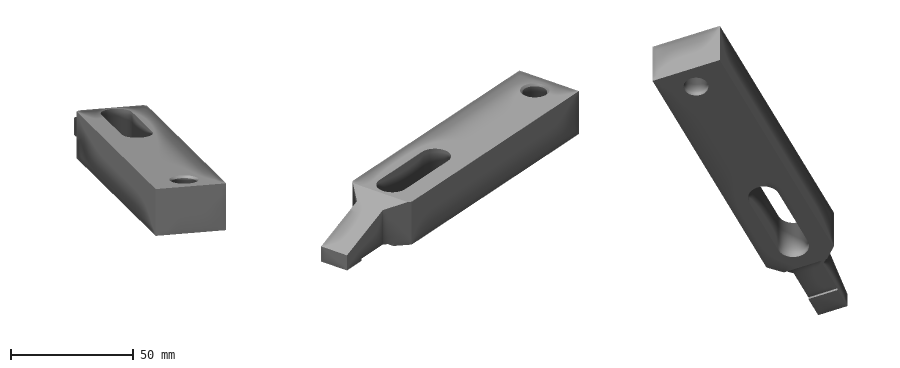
import cadquery as cq

length = 150.0
width = 30.0
height = 20.0

nose_width = 13.0
tip_height = 7.0
ramp_end = 32.2
shoulder_end = 33.5
nose_length = shoulder_end - (width - nose_width) / 2

relief_start = 10.0
relief_end = 28.0
relief_depth = 1.0

slot_width = nose_width
slot_start = 34.0
slot_end = 77.0

hole_x = 140.0
hole_diameter = 10.2
hole_chamfer = 0.9


def make_body():
    """Plan outline with 45 degree shoulders, cut to the side profile."""
    half_width = width / 2
    half_nose = nose_width / 2
    plan = (
        cq.Workplane("XY")
        .polyline([
            (0, -half_nose),
            (nose_length, -half_nose),
            (shoulder_end, -half_width),
            (length, -half_width),
            (length, half_width),
            (shoulder_end, half_width),
            (nose_length, half_nose),
            (0, half_nose),
        ])
        .close()
        .extrude(height)
    )
    profile = (
        cq.Workplane("XZ")
        .polyline([
            (0, 0),
            (relief_start, 0),
            (relief_start, relief_depth),
            (relief_end, relief_depth),
            (relief_end, 0),
            (length, 0),
            (length, height),
            (ramp_end, height),
            (0, tip_height),
        ])
        .close()
        .extrude(width / 2, both=True)
    )
    return plan.intersect(profile)


def make_slot():
    """Round-ended cutter through the full height."""
    return (
        cq.Workplane("XY")
        .center((slot_start + slot_end) / 2, 0)
        .slot2D(slot_end - slot_start, slot_width)
        .extrude(height)
    )


def make_hole():
    """Round cutter that flares to the chamfer size at the top face."""
    radius = hole_diameter / 2
    mouth_radius = radius + hole_chamfer
    return (
        cq.Workplane("XZ", origin=(hole_x, 0, 0))
        .polyline([
            (0, 0),
            (radius, 0),
            (radius, height - hole_chamfer),
            (mouth_radius, height),
            (0, height),
        ])
        .close()
        .revolve(360, (0, 0, 0), (0, 1, 0))
    )


result = make_body().cut(make_slot()).cut(make_hole())